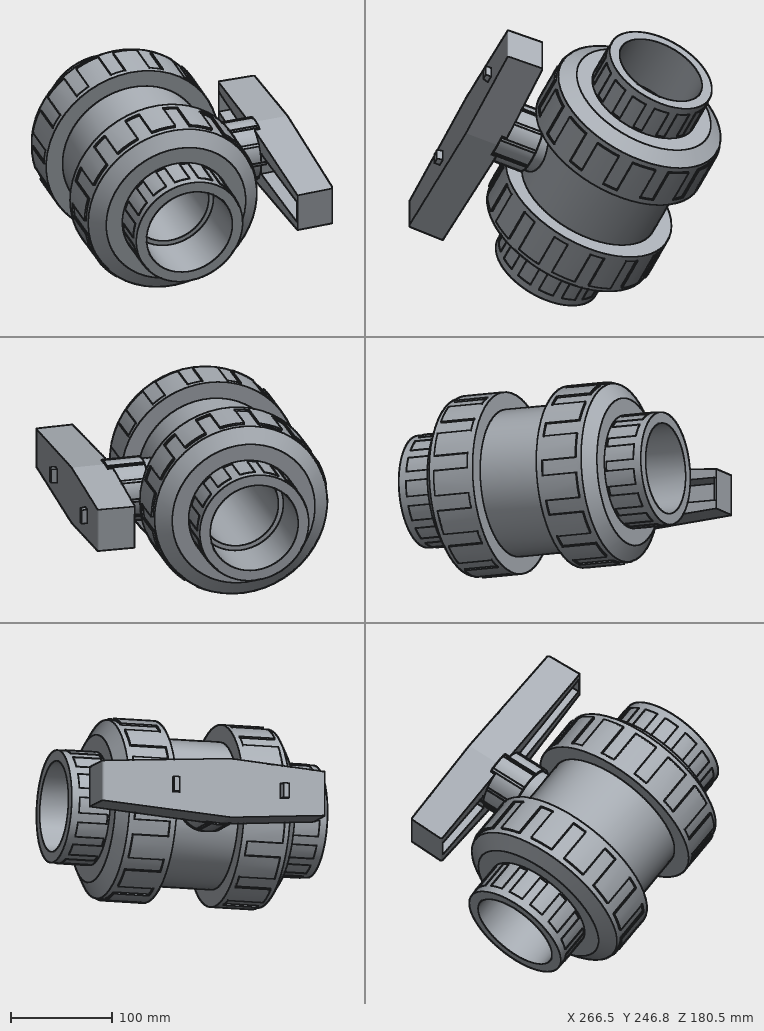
import cadquery as cq
import math


pipe_half_length = 133.0
pipe_diameter = 111.5
pipe_rib_diameter = 112.5
pipe_rib_start = 95.05
pipe_rib_end = 124.9
bore_diameter = 80.0
socket_diameter = 90.0
socket_depth = 55.5

body_diameter = 146.2
nut_grip_diameter = 180.5
nut_diameter = 176.89
nut_inner_face = 35.0
nut_rib_start = 41.0
nut_rib_end = 77.8
nut_chamfer_start = 83.4
nut_outer_face = 93.2

rib_count = 14
rib_width_angle = 16.0
gap_overlap = 1.0

neck_diameter = 57.98
hub_radius = 31.1
hub_rib_radius = 31.6
hub_rib_count = 10
hub_rib_width = 2.9
hub_bottom = 78.4
hub_top = 116.6

handle_top = 150.75
handle_bottom_centre = 110.9
handle_bottom_end = 113.0
handle_left = -100.0
handle_right = 133.5
handle_end_draft = 1.1
handle_left_corner = 1.2
handle_right_corner = 2.5
handle_lip_corner = 2.0
handle_pivot_x = -1.2
pivot_half_width = 29.4
left_half_width = 21.9
right_half_width = 19.9
slot_half_width = 11.4
slot_end_wall = 1.2
slot_roof = 10.0

tab_top = 156.5
tab_bevel_start = 154.6
tab_half_width = 7.2
tab_embed = 1.0
tab_outer_x = 59.75
tab_top_inner_x = 54.0
tab_bevel_inner_x = 53.3
tab_base_inner_x = 52.2


def x_cylinder(radius, x_start, x_end):
    """Solid cylinder about the X axis."""
    return cq.Workplane("YZ", origin=(x_start, 0, 0)).circle(radius).extrude(x_end - x_start)


def y_cylinder(radius, y_start, y_end):
    """Solid cylinder about the Y axis."""
    return cq.Workplane("XZ", origin=(0, y_start, 0)).circle(radius).extrude(y_start - y_end)


def ribbed_collar(root_diameter, outer_diameter, x_rib_end, x_rib_start, x_inner):
    """Collar on the -X side whose outer end is split into ribs by gaps open to that end.

    One rib ends exactly at the -Y direction. The gaps reach below the root diameter,
    where the part that carries the collar fills them.
    """
    outer_radius = outer_diameter / 2
    gap_floor = root_diameter / 2 - gap_overlap
    gap_ceiling = outer_radius + gap_overlap
    pitch_angle = 360.0 / rib_count

    def point(radius, elevation):
        angle = math.radians(elevation)
        return (-radius * math.cos(angle), radius * math.sin(angle))

    gaps = cq.Workplane("YZ", origin=(x_rib_end, 0, 0))
    for index in range(rib_count):
        low = index * pitch_angle
        high = low + pitch_angle - rib_width_angle
        middle = (low + high) / 2
        gaps = (
            gaps.moveTo(*point(gap_floor, low))
            .lineTo(*point(gap_ceiling, low))
            .threePointArc(point(gap_ceiling, middle), point(gap_ceiling, high))
            .lineTo(*point(gap_floor, high))
            .threePointArc(point(gap_floor, middle), point(gap_floor, low))
            .close()
        )
    collar = x_cylinder(outer_radius, x_rib_end, x_inner)
    return collar.cut(gaps.extrude(x_rib_start - x_rib_end))


def union_nut():
    """Union nut on the -X side: chamfered barrel with a ribbed collar."""
    barrel_profile = [
        (-nut_outer_face, 0),
        (-nut_outer_face, body_diameter / 2),
        (-nut_chamfer_start, nut_diameter / 2),
        (-nut_inner_face, nut_diameter / 2),
        (-nut_inner_face, 0),
    ]
    barrel = cq.Workplane("XY").polyline(barrel_profile).close().revolve(360, (0, 0, 0), (1, 0, 0))
    collar = ribbed_collar(
        nut_diameter, nut_grip_diameter, -nut_rib_end, -nut_rib_start, -nut_inner_face
    )
    return barrel.union(collar)


def pipe_end():
    """Pipe end on the -X side with its ribbed collar."""
    pipe = x_cylinder(pipe_diameter / 2, -pipe_half_length, 0)
    collar = ribbed_collar(
        pipe_diameter, pipe_rib_diameter, -pipe_rib_end, -pipe_rib_start, -nut_inner_face
    )
    return pipe.union(collar)


def valve_body():
    """Body and both identical ends; the second end is the first turned about Z."""
    body = x_cylinder(body_diameter / 2, -nut_inner_face, nut_inner_face)
    end = pipe_end().union(union_nut())
    return body.union(end).union(end.rotate((0, 0, 0), (0, 0, 1), 180))


def stem():
    """Neck rising from the body and the ribbed hub that carries the handle."""
    neck = y_cylinder(neck_diameter / 2, 0, hub_bottom)
    hub = y_cylinder(hub_radius, hub_bottom, hub_top)
    rib = (
        cq.Workplane("XZ", origin=(0, hub_bottom, 0))
        .rect(2 * hub_rib_radius, hub_rib_width)
        .extrude(hub_bottom - hub_top)
    )
    for index in range(hub_rib_count // 2):
        hub = hub.union(rib.rotate((0, 0, 0), (0, 1, 0), index * 360.0 / hub_rib_count))
    return neck.union(hub)


def handle():
    """Tapered lever, hollowed from below along both arms."""
    side = (
        cq.Workplane("XY")
        .moveTo(handle_left, handle_bottom_end)
        .lineTo(0, handle_bottom_centre)
        .lineTo(handle_right, handle_bottom_end)
        .lineTo(handle_right - handle_end_draft, handle_top)
        .lineTo(handle_left + handle_end_draft, handle_top)
        .close()
        .extrude(pivot_half_width, both=True)
    )
    side = side.edges("|Z").edges(">Y").edges("<X").fillet(handle_left_corner)
    side = side.edges("|Z").edges("<X").fillet(handle_lip_corner)
    side = side.edges("|Z").edges(">Y").edges(">X").fillet(handle_right_corner)
    plan = (
        cq.Workplane("XZ", origin=(0, handle_bottom_centre, 0))
        .polyline([
            (handle_left, -left_half_width),
            (handle_pivot_x, -pivot_half_width),
            (handle_right, -right_half_width),
            (handle_right, right_half_width),
            (handle_pivot_x, pivot_half_width),
            (handle_left, left_half_width),
        ])
        .close()
        .extrude(handle_bottom_centre - handle_top)
    )
    lever = side.intersect(plan)
    wall = slot_end_wall + handle_end_draft
    slot_height = handle_top - slot_roof - handle_bottom_centre
    for inner, outer in ((-hub_radius, handle_left + wall), (hub_radius, handle_right - wall)):
        slot = cq.Workplane("XY").box(abs(outer - inner), slot_height, 2 * slot_half_width)
        lever = lever.cut(
            slot.translate(((inner + outer) / 2, handle_bottom_centre + slot_height / 2, 0))
        )
    return lever


def stop_tab():
    """Small tab on the handle top, on the +X side, bevelled towards the stem."""
    return (
        cq.Workplane("XY")
        .polyline([
            (tab_base_inner_x, handle_top - tab_embed),
            (tab_base_inner_x, handle_top),
            (tab_bevel_inner_x, tab_bevel_start),
            (tab_top_inner_x, tab_top),
            (tab_outer_x, tab_top),
            (tab_outer_x, handle_top - tab_embed),
        ])
        .close()
        .extrude(tab_half_width, both=True)
    )


def bore():
    """Through bore with a wider socket at each pipe end."""
    tool = x_cylinder(bore_diameter / 2, -pipe_half_length, pipe_half_length)
    socket_floor = pipe_half_length - socket_depth
    for side in (-1, 1):
        socket = x_cylinder(socket_diameter / 2, side * socket_floor, side * pipe_half_length)
        tool = tool.union(socket)
    return tool


tab = stop_tab()
result = (
    valve_body()
    .union(stem())
    .union(handle())
    .union(tab)
    .union(tab.mirror("YZ"))
    .cut(bore())
)